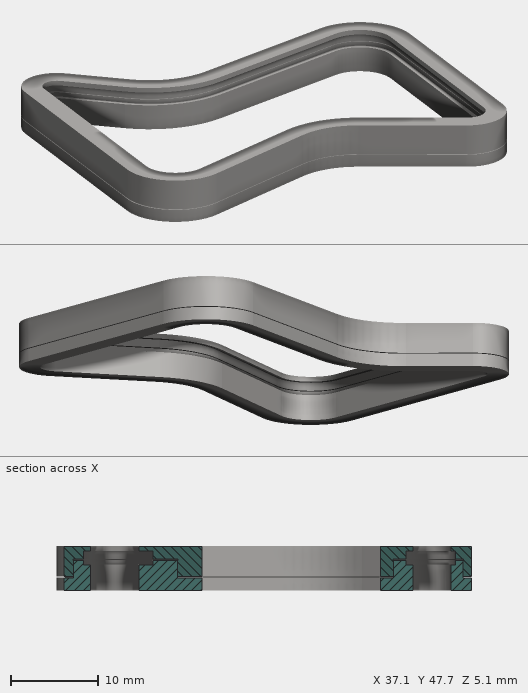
import cadquery as cq
import math

half_length = 23.85
corners = [
    ((-20.35, half_length), 6.35),
    ((20.5, half_length), 4.65),
    ((10.0, 2.55), 8.25),
    ((21.95, -half_length), 6.15),
    ((-23.3, -half_length), 4.1),
    ((-9.3, -7.3), 9.0),
]
wall = 2.45

total_height = 5.1
base_height = 1.5
ledge_height = 2.95
rim_height = 3.5
lip_bottom = 4.55
joint_gap = 0.1

groove_depth = 0.53
groove_inset = wall - groove_depth
joint_inset = groove_inset / 2


def corner_arc(before, corner, after, radius):
    """Start, middle and end of the arc that rounds one corner."""
    to_before = (before - corner).normalized()
    to_after = (after - corner).normalized()
    half_angle = to_before.getAngle(to_after) / 2
    tangent_length = radius / math.tan(half_angle)
    middle_distance = radius / math.sin(half_angle) - radius
    start = corner + to_before * tangent_length
    middle = corner + (to_before + to_after).normalized() * middle_distance
    end = corner + to_after * tangent_length
    return start, middle, end


def make_outline():
    """Closed outer outline at the height of the underside."""
    points = [cq.Vector(*point) for point, _ in corners]
    radii = [radius for _, radius in corners]
    following = points[1:] + points[:1]
    arcs = [
        corner_arc(points[i - 1], points[i], following[i], radii[i])
        for i in range(len(points))
    ]
    edges = []
    for i, (start, middle, end) in enumerate(arcs):
        edges.append(cq.Edge.makeLine(arcs[i - 1][2], start))
        edges.append(cq.Edge.makeThreePointArc(start, middle, end))
    return cq.Wire.assembleEdges(edges)


outer_wire = make_outline()


def slab(inset, bottom, top):
    """Solid inside the outline moved inwards by inset, between two heights."""
    wire = outer_wire if inset == 0 else outer_wire.offset2D(-inset)[0]
    solid = cq.Solid.extrudeLinear(wire, [], cq.Vector(0, 0, top - bottom))
    return cq.Workplane(solid.translate(cq.Vector(0, 0, bottom)))


def ring(outer_inset, inner_inset, bottom, top):
    """Band of the wall between two insets and two heights."""
    return slab(outer_inset, bottom, top).cut(slab(inner_inset, bottom, top))


def make_base():
    """Lower frame: full-width foot, inner rim and the ledge at the bottom of the groove."""
    foot = ring(0, wall, 0, base_height)
    rim = ring(joint_inset, groove_inset, base_height, rim_height)
    ledge = ring(groove_inset, wall, base_height, ledge_height)
    return foot.union(rim).union(ledge)


def make_cover():
    """Upper frame: outer skirt, back of the groove and the lip over the groove."""
    skirt = ring(0, joint_inset, base_height + joint_gap, lip_bottom)
    groove_back = ring(joint_inset, groove_inset, rim_height + joint_gap, lip_bottom)
    lip = ring(0, wall, lip_bottom, total_height)
    return skirt.union(groove_back).union(lip)


base = make_base()
cover = make_cover()
result = cq.Compound.makeCompound([base.val(), cover.val()])